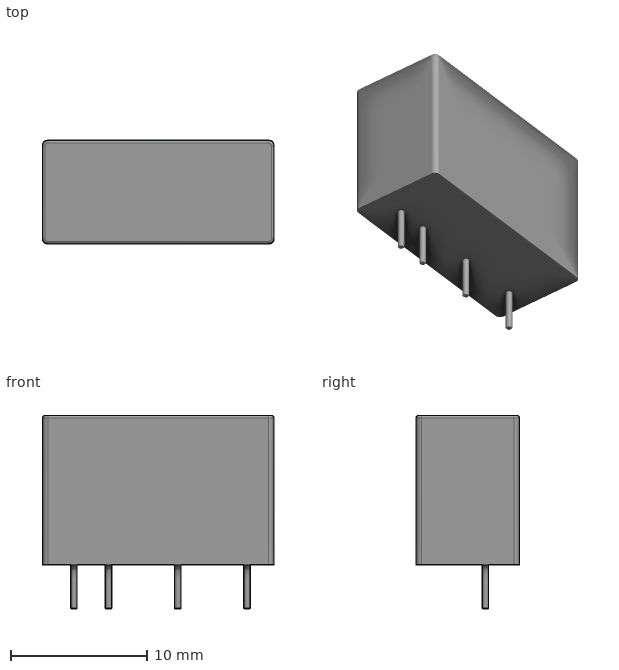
import cadquery as cq

case_length = 17.0
case_width = 7.62
total_height = 14.2
pin_length = 3.23
case_height = total_height - pin_length
corner_radius = 0.4
top_edge_radius = 0.2

pin_diameter = 0.5
pin_tip_radius = 0.1
pin_row_span = 12.7
first_pin_x = -6.19
pin_row_y = 1.3
pin_steps = (0, 1, 3, 5)
pin_pitch = pin_row_span / pin_steps[-1]


def make_case():
    """Block with its underside at Z = 0, rounded upright and top edges."""
    block = cq.Workplane("XY").box(case_length, case_width, case_height, centered=(True, True, False))
    return block.edges("|Z").fillet(corner_radius).faces(">Z").edges().fillet(top_edge_radius)


def make_pin(x):
    """Round pin hanging below the case, with a rounded tip."""
    pin = cq.Workplane("XY").center(x, pin_row_y).circle(pin_diameter / 2).extrude(-pin_length)
    return pin.faces("<Z").edges().fillet(pin_tip_radius)


result = make_case()
for step in pin_steps:
    result = result.union(make_pin(first_pin_x + step * pin_pitch))